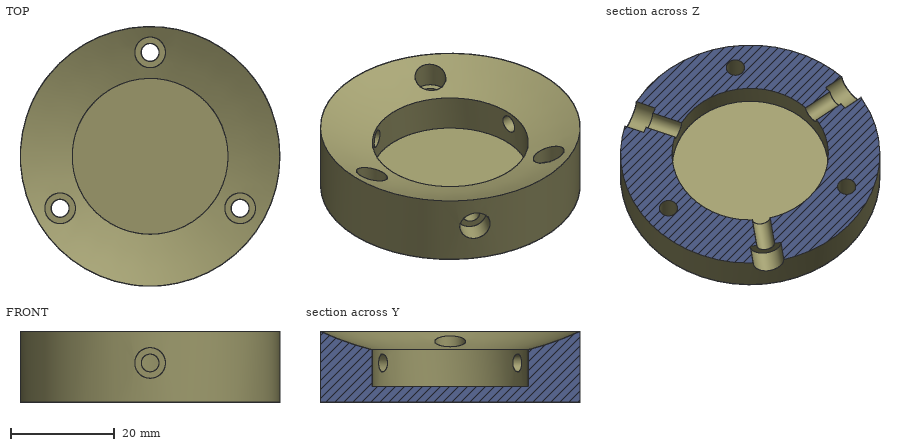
import cadquery as cq
import math

outer_radius = 25.0
height = 13.7
recess_radius = 15.0
floor_thickness = 3.1

dish_radius = 60.0
dish_center_z = height + math.sqrt(dish_radius**2 - outer_radius**2)

hole_diameter = 3.4
counterbore_diameter = 5.9
hole_count = 3
vertical_hole_radius = 20.0
vertical_seat_z = 8.0
vertical_first_angle = 90.0
side_hole_z = 7.6
side_seat_radius = 20.9
side_first_angle = -90.0


def body():
    """Cylinder with a dished top and a flat-bottomed recess."""
    blank = cq.Workplane("XY").circle(outer_radius).extrude(height)
    dish = cq.Workplane("XY").sphere(dish_radius).translate((0, 0, dish_center_z))
    recess = (
        cq.Workplane("XY")
        .workplane(offset=floor_thickness)
        .circle(recess_radius)
        .extrude(height)
    )
    return blank.cut(dish).cut(recess)


def vertical_hole():
    """Through hole along Z with its counterbore opening into the dish."""
    hole = cq.Workplane("XY").circle(hole_diameter / 2).extrude(height)
    counterbore = (
        cq.Workplane("XY")
        .workplane(offset=vertical_seat_z)
        .circle(counterbore_diameter / 2)
        .extrude(height)
    )
    return hole.union(counterbore).translate((vertical_hole_radius, 0, 0))


def side_hole():
    """Radial hole from the recess outwards, counterbored from the outer wall."""
    hole = cq.Workplane("YZ").circle(hole_diameter / 2).extrude(outer_radius)
    counterbore = (
        cq.Workplane("YZ")
        .workplane(offset=side_seat_radius)
        .circle(counterbore_diameter / 2)
        .extrude(outer_radius)
    )
    return hole.union(counterbore).translate((0, 0, side_hole_z))


result = body()
for index in range(hole_count):
    turn = index * 360.0 / hole_count
    for cutter, first_angle in (
        (vertical_hole(), vertical_first_angle),
        (side_hole(), side_first_angle),
    ):
        result = result.cut(cutter.rotate((0, 0, 0), (0, 0, 1), first_angle + turn))